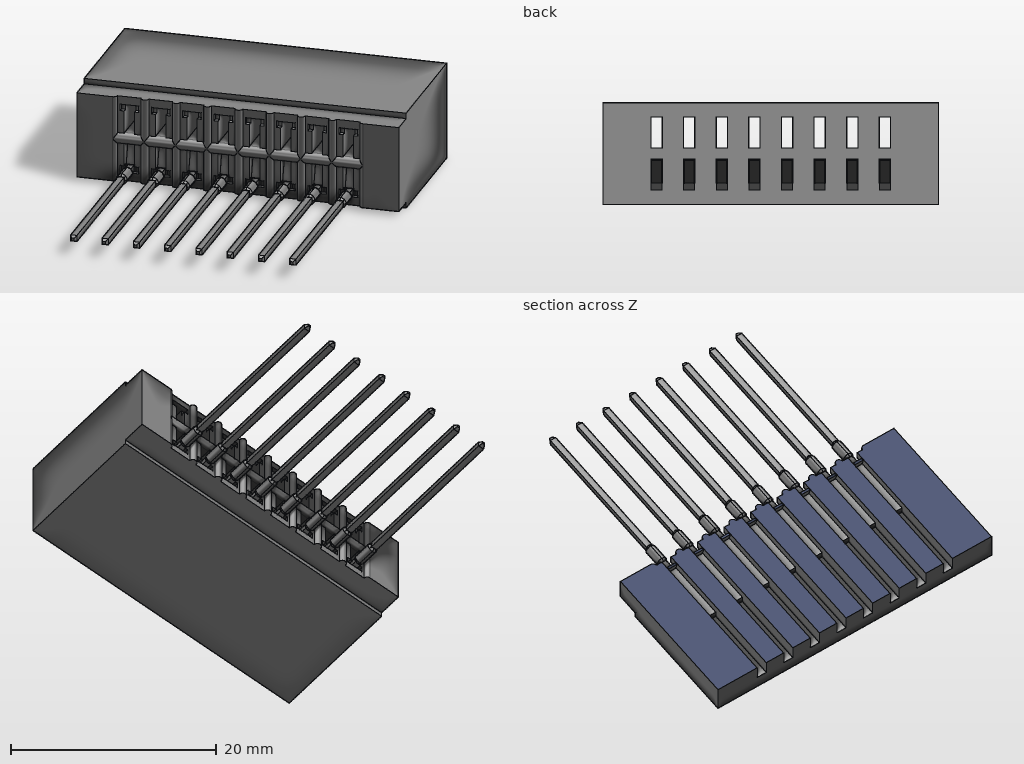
import cadquery as cq
import math

overall_length = 35.42
housing_width = 32.65
housing_depth = 16.45
housing_height = 9.9
nose_length = 2.5
nose_step = 0.55

contact_count = 8
row_span = 22.2
pitch = row_span / (contact_count - 1)
contact_xs = [i * pitch - row_span / 2 for i in range(contact_count)]

pocket_depth = 0.4
pocket_width = contact_count * pitch
ridge_radius = pocket_depth

slot_width = 1.05
slot_height = 7.1
recess_width = 1.88
recess_height = 0.67
recess_depth = 0.5
recess_z = (slot_height - recess_height) / 2
divider_radius = 0.55

contact_z = -recess_z
tail_size = 0.65
tail_length = overall_length - housing_depth
tip_length = 0.35
tip_size = 0.3
collar_radius = 0.55
collar_end_radius = 0.4
collar_bulge = 0.93
collar_start = 0.07
collar_end = 2.5
collar_taper = 0.3
shank_start = pocket_depth + recess_depth
shank_length = 7.1
leaf_width = 1.0
leaf_thickness = 0.32
leaf_lean = 0.7
leaf_gap = 0.07


def block(width, depth, height, x=0, y=0, z=0):
    """Box centred on x and z whose front face is at y."""
    return cq.Workplane("XY").box(width, depth, height, centered=(True, False, True)).translate((x, y, z))


def stepped_block():
    nose = block(housing_width, nose_length, housing_height - 2 * nose_step)
    rear = block(housing_width, housing_depth - nose_length, housing_height, y=nose_length)
    return nose.union(rear)


def ridges():
    """Rounded ridges at the pocket ends and between neighbouring positions."""
    centres = [(i * pitch - pocket_width / 2, pocket_depth) for i in range(contact_count + 1)]
    ridge_height = housing_height - 2 * nose_step
    return (
        cq.Workplane("XY", origin=(0, 0, -ridge_height / 2))
        .pushPoints(centres)
        .circle(ridge_radius)
        .extrude(ridge_height)
    )


def cavity(x):
    """Slot through the housing with a wider shallow recess at its top and bottom ends."""
    slot = block(slot_width, housing_depth, slot_height, x)
    for z in (-recess_z, recess_z):
        slot = slot.union(block(recess_width, shank_start, recess_height, x, 0, z))
    return slot


def divider():
    """Round-nosed wall between the upper and lower halves of every cavity."""
    nose = (
        cq.Workplane("YZ", origin=(-pocket_width / 2, divider_radius, 0))
        .circle(divider_radius)
        .extrude(pocket_width)
    )
    wall = block(pocket_width, housing_depth - divider_radius, 2 * divider_radius, y=divider_radius)
    return nose.union(wall)


def make_housing():
    body = stepped_block().cut(block(pocket_width, pocket_depth, housing_height))
    body = body.union(ridges())
    for x in contact_xs:
        body = body.cut(cavity(x))
    return body.union(divider())


def make_tail():
    """Square wire from the shank forward to the tapered tip."""
    straight_end = tip_length - tail_length
    wire = block(tail_size, shank_start - straight_end, tail_size, y=straight_end)
    tip = (
        cq.Workplane("XZ", origin=(0, straight_end, 0))
        .rect(tail_size, tail_size)
        .workplane(offset=tip_length)
        .rect(tip_size, tip_size)
        .loft(ruled=True)
    )
    return wire.union(tip)


def lobed_outline(corner_reach, y):
    """Four shallow arcs meeting at creases on the X and Z axes, in the plane at y."""
    bulge = collar_bulge * corner_reach / math.sqrt(2)
    return (
        cq.Workplane("XZ", origin=(0, y, 0))
        .moveTo(corner_reach, 0)
        .threePointArc((bulge, bulge), (0, corner_reach))
        .threePointArc((-bulge, bulge), (-corner_reach, 0))
        .threePointArc((-bulge, -bulge), (0, -corner_reach))
        .threePointArc((bulge, -bulge), (corner_reach, 0))
        .close()
    )


def make_collar():
    """Nearly round collar with four creases, tapered at both ends."""
    stations = [
        (-collar_start, collar_end_radius),
        (-collar_start - collar_taper, collar_radius),
        (-collar_end + collar_taper, collar_radius),
        (-collar_end, collar_end_radius),
    ]
    outlines = [lobed_outline(reach, y).val() for y, reach in stations]
    return cq.Workplane(obj=cq.Solid.makeLoft(outlines, True))


def make_leaf():
    """Flat spring rising from the shank and leaning back towards the divider."""
    leaf_top = -divider_radius - leaf_gap - contact_z
    profile = [
        (shank_start, 0),
        (shank_start + leaf_thickness, 0),
        (shank_start + leaf_lean + leaf_thickness, leaf_top),
        (shank_start + leaf_lean, leaf_top),
    ]
    return cq.Workplane("YZ", origin=(-leaf_width / 2, 0, 0)).polyline(profile).close().extrude(leaf_width)


def make_contact(x):
    shank = block(slot_width, shank_length, recess_height, y=shank_start)
    contact = make_tail().union(make_collar()).union(shank).union(make_leaf())
    return contact.translate((x, 0, contact_z))


housing = make_housing()
contacts = [make_contact(x) for x in contact_xs]
result = cq.Compound.makeCompound([housing.val(), *[contact.val() for contact in contacts]])